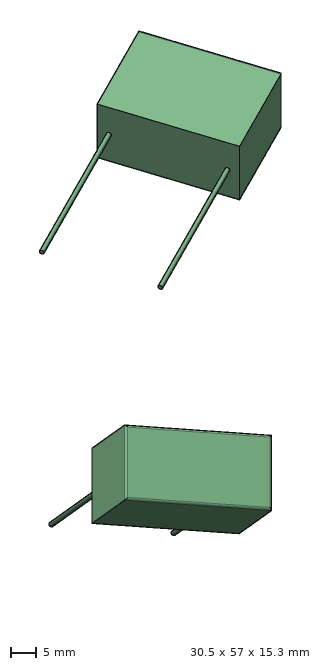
import cadquery as cq

case_width = 30.5
case_height = 15.3
total_length = 57.0
lead_length = 35.0
case_length = total_length - lead_length
back_edge_radius = 0.5

lead_diameter = 1.0
lead_spacing = 25.35


def make_case():
    """Block centred on X and Z, front face at Y = 0, rounded around its back face."""
    block = cq.Workplane("XY").box(case_width, case_length, case_height, centered=(True, False, True))
    return block.faces(">Y").edges().fillet(back_edge_radius)


def make_lead(x):
    """Wire that butts against the front face of the case and runs toward -Y."""
    return cq.Workplane("XZ").center(x, 0).circle(lead_diameter / 2).extrude(lead_length)


case = make_case()
leads = [make_lead(side * lead_spacing / 2) for side in (-1, 1)]

result = cq.Compound.makeCompound([case.val(), *[lead.val() for lead in leads]])